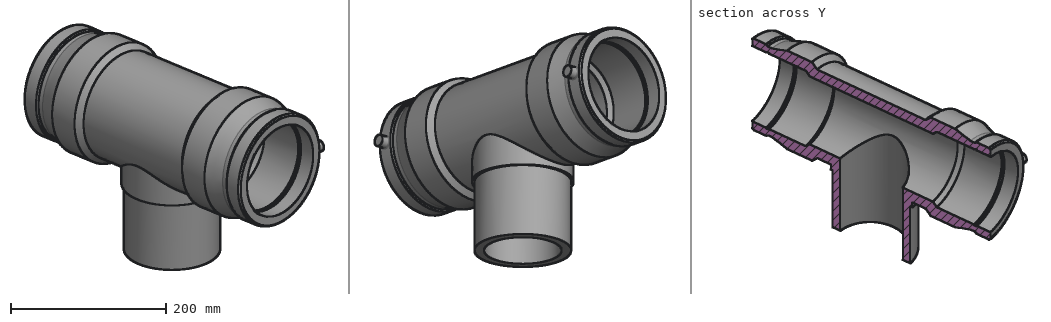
import cadquery as cq
import math

RUN_LENGTH = 382.0
RUN_DIAMETER = 148.5
RUN_BORE = 112.5

MOUTH_BORE = 125.0
SOCKET_DEPTH = 86.0
GROOVE_DIAMETER = 127.0
GROOVE_START = 22.5
GROOVE_END = 26.5
FLANGE_DIAMETER = 153.45
NECK_DIAMETER = 148.85
FLANGE_END = 25.0
FLANGE_BEVEL_LENGTH = 2.5
TAPER_START = 32.0
SLEEVE_DIAMETER = 165.0
SLEEVE_START = 56.5
SLEEVE_END = 96.0

BRANCH_DIAMETER = 125.0
BRANCH_BORE = 100.0
BRANCH_REACH = 177.0
COLLAR_DIAMETER = 131.25
COLLAR_REACH = SLEEVE_DIAMETER / 2

STUD_TIP_DIAMETER = 15.3
STUD_DRAFT_ANGLE = 2.0
STUD_FILLET = 1.0
STUD_REACH = 88.0
STUD_OFFSET = FLANGE_END / 2

HALF_LENGTH = RUN_LENGTH / 2


def revolve_half(stations):
    """Solid of the -X half, turned about X through (distance from end face, diameter) pairs."""
    outline = [(depth - HALF_LENGTH, diameter / 2) for depth, diameter in stations]
    profile = cq.Workplane("XY").moveTo(-HALF_LENGTH, 0).polyline(outline, includeCurrent=True)
    return profile.lineTo(0, 0).close().revolve(360, (0, 0, 0), (1, 0, 0))


def make_run_half():
    """Outer shape of the -X half of the run: flange, neck, tapered sleeve and pipe."""
    sleeve_bevel = (SLEEVE_DIAMETER - RUN_DIAMETER) / 2
    stations = [
        (0, NECK_DIAMETER),
        (FLANGE_BEVEL_LENGTH, FLANGE_DIAMETER),
        (FLANGE_END - FLANGE_BEVEL_LENGTH, FLANGE_DIAMETER),
        (FLANGE_END, NECK_DIAMETER),
        (TAPER_START, NECK_DIAMETER),
        (SLEEVE_START, SLEEVE_DIAMETER),
        (SLEEVE_END, SLEEVE_DIAMETER),
        (SLEEVE_END + sleeve_bevel, RUN_DIAMETER),
        (HALF_LENGTH, RUN_DIAMETER),
    ]
    return revolve_half(stations)


def make_bore_half():
    """Bore of the -X half of the run: grooved socket, 45 degree cone, then the run bore."""
    cone_length = (MOUTH_BORE - RUN_BORE) / 2
    stations = [
        (0, MOUTH_BORE),
        (GROOVE_START, MOUTH_BORE),
        (GROOVE_START, GROOVE_DIAMETER),
        (GROOVE_END, GROOVE_DIAMETER),
        (GROOVE_END, MOUTH_BORE),
        (SOCKET_DEPTH, MOUTH_BORE),
        (SOCKET_DEPTH + cone_length, RUN_BORE),
        (HALF_LENGTH, RUN_BORE),
    ]
    return revolve_half(stations)


def make_stud():
    """Slightly conical stud pointing to +Y, rooted in the wall of the -X flange."""
    root = (MOUTH_BORE + FLANGE_DIAMETER) / 4
    length = STUD_REACH - root
    root_radius = STUD_TIP_DIAMETER / 2 + length * math.tan(math.radians(STUD_DRAFT_ANGLE))
    base = cq.Workplane("XZ", origin=(STUD_OFFSET - HALF_LENGTH, root, 0))
    return base.circle(root_radius).extrude(-length, taper=STUD_DRAFT_ANGLE)


def make_studded_half():
    """Outer shape of the -X half with its stud, filleted where the stud leaves the flange."""
    stud_x = STUD_OFFSET - HALF_LENGTH
    reach = STUD_TIP_DIAMETER / 2
    near_foot = cq.selectors.BoxSelector(
        (stud_x - reach, NECK_DIAMETER / 2, -reach),
        (stud_x + reach, FLANGE_DIAMETER / 2, reach),
    )
    return make_run_half().union(make_stud()).edges(near_foot).fillet(STUD_FILLET)


def with_mirror(half):
    """The given -X half joined with its mirror image across the YZ plane."""
    return half.union(half.mirror("YZ"))


def make_branch_cylinder(diameter, reach):
    """Cylinder from the run axis down to the given reach."""
    return cq.Workplane("XY").circle(diameter / 2).extrude(-reach)


outer = with_mirror(make_studded_half())
outer = outer.union(make_branch_cylinder(COLLAR_DIAMETER, COLLAR_REACH))
outer = outer.union(make_branch_cylinder(BRANCH_DIAMETER, BRANCH_REACH))

result = outer.cut(with_mirror(make_bore_half()))
result = result.cut(make_branch_cylinder(BRANCH_BORE, BRANCH_REACH))